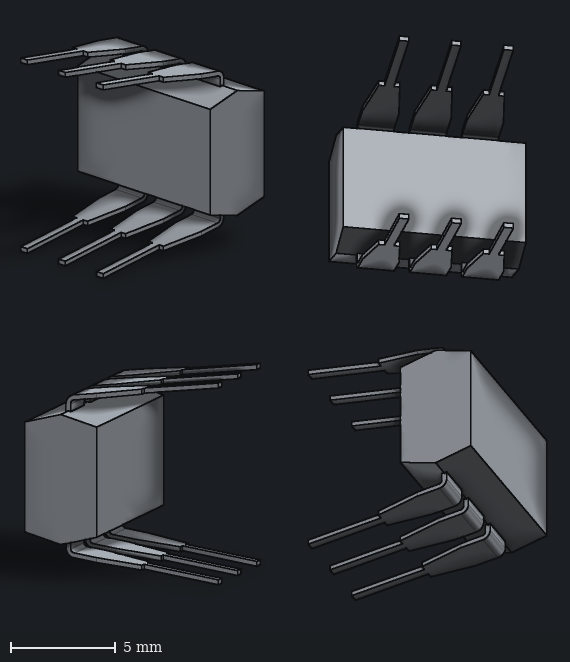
import cadquery as cq
import math

housing_length = 8.89
housing_depth = 3.69
ridge_height = 6.34
shoulder_height = 5.36

overall_height = 9.81
lead_count = 3
lead_pitch = 2.54
lead_thickness = 0.25
inner_bend_radius = 0.2
splay_angle = math.radians(7.5)
wide_width = 1.78
taper_end_width = 1.03
narrow_width = 0.46
taper_start_y = -1.42
taper_end_y = -3.62
overall_depth = 9.27

half_depth = housing_depth / 2
half_ridge = ridge_height / 2
half_shoulder = shoulder_height / 2
half_thickness = lead_thickness / 2
tip_y = half_depth - overall_depth
tip_top_z = overall_height / 2
outer_bend_radius = inner_bend_radius + lead_thickness
splay_slope = math.tan(splay_angle)

bend_y = half_thickness - outer_bend_radius
bend_z = tip_top_z - (bend_y - tip_y) * splay_slope - outer_bend_radius / math.cos(splay_angle)

ridge_slope = (half_ridge - half_shoulder) / half_depth
foot_edge_z = half_ridge - half_thickness * ridge_slope


def bend_point(radius, angle):
    """Point (y, z) on the bend, at an angle measured from +Y toward +Z."""
    return (bend_y + radius * math.cos(angle), bend_z + radius * math.sin(angle))


def make_housing():
    """Six-sided section, extruded symmetrically along X."""
    section = [
        (half_depth, half_shoulder),
        (0, half_ridge),
        (-half_depth, half_shoulder),
        (-half_depth, -half_shoulder),
        (0, -half_ridge),
        (half_depth, -half_shoulder),
    ]
    return cq.Workplane("YZ").polyline(section).close().extrude(housing_length / 2, both=True)


def make_bent_strip():
    """Side profile of an upper lead at its full width, ending in an upright tip face."""
    bend_end = math.pi / 2 - splay_angle
    bend_middle = bend_end / 2
    tip_bottom_z = tip_top_z - lead_thickness / math.cos(splay_angle)
    return (
        cq.Workplane("YZ")
        .moveTo(0, half_ridge)
        .lineTo(half_thickness, foot_edge_z)
        .lineTo(half_thickness, bend_z)
        .threePointArc(bend_point(outer_bend_radius, bend_middle), bend_point(outer_bend_radius, bend_end))
        .lineTo(tip_y, tip_top_z)
        .lineTo(tip_y, tip_bottom_z)
        .lineTo(*bend_point(inner_bend_radius, bend_end))
        .threePointArc(bend_point(inner_bend_radius, bend_middle), bend_point(inner_bend_radius, 0))
        .lineTo(-half_thickness, foot_edge_z)
        .close()
        .extrude(wide_width / 2, both=True)
    )


def make_plan_outline():
    """Plan of a lead: a wide root, a taper, then a stepped-in narrow tail."""
    right_side = [
        (wide_width / 2, half_thickness),
        (wide_width / 2, taper_start_y),
        (taper_end_width / 2, taper_end_y),
        (narrow_width / 2, taper_end_y),
        (narrow_width / 2, tip_y),
    ]
    left_side = [(-x, y) for x, y in reversed(right_side)]
    return cq.Workplane("XY").polyline(right_side + left_side).close().extrude(tip_top_z)


def make_upper_lead():
    """Bent strip trimmed to the lead's plan."""
    return make_bent_strip().intersect(make_plan_outline())


housing = make_housing()

upper_lead = make_upper_lead()
lower_lead = upper_lead.mirror("XY")
leads = []
for index in range(lead_count):
    lead_x = (index - (lead_count - 1) / 2) * lead_pitch
    for lead in (upper_lead, lower_lead):
        leads.append(lead.translate((lead_x, 0, 0)).solids().val())

result = cq.Compound.makeCompound([housing.solids().val(), *leads])